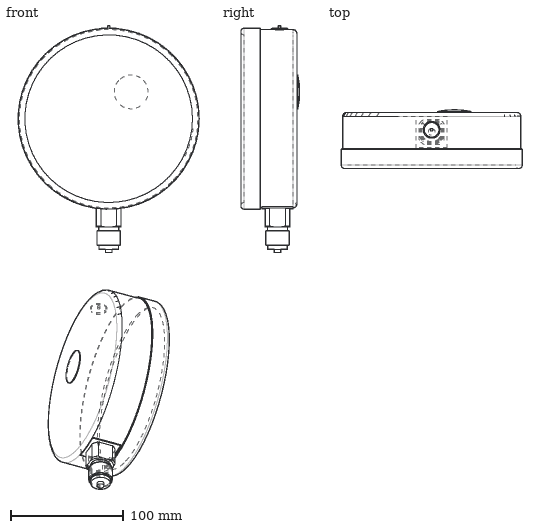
import cadquery as cq
import math

bezel_diameter = 161.4
bezel_depth = 17.8
case_diameter = 159.0
housing_depth = 50.0
case_edge_radius = 3.6
bezel_rim_radius = 3.0
bezel_back_chamfer = 0.6

disc_diameter = 30.0
disc_rim_height = 0.8
disc_height = 2.5
disc_x = 20.0
disc_z = 23.8

plug_y = 34.5
plug_diameter = 15.0
plug_height = 1.2
plug_chamfer = 1.0
vent_pin_diameter = 2.5
vent_pin_top = 82.8
vent_pin_rounding = 0.6

overall_height = 202.0
stem_y = 32.7
pad_width = 27.5
pad_thickness = 1.0
wrench_width = 22.2
wrench_corner_diameter = 26.3
wrench_chamfer = 0.8
neck_diameter = 18.0
neck_length = 3.0
collar_diameter = 21.0
collar_length = 13.7
collar_chamfer = 0.8
spigot_diameter = 17.5
spigot_length = 3.2
tip_diameter = 6.0
tip_length = 2.8

case_radius = case_diameter / 2
stem_bottom = vent_pin_top - overall_height
spigot_bottom = stem_bottom + tip_length
collar_bottom = spigot_bottom + spigot_length
neck_bottom = collar_bottom + collar_length
wrench_bottom = neck_bottom + neck_length
embed_depth = 6.0
wrench_height = -case_radius + embed_depth - wrench_bottom


def disc_along_y(diameter, start, end):
    """Cylinder about the housing axis, from Y = start to Y = end."""
    return cq.Workplane("XZ", origin=(0, start, 0)).circle(diameter / 2).extrude(start - end)


def upright(diameter, y, bottom, height):
    """Vertical cylinder standing at X = 0."""
    return cq.Workplane("XY", origin=(0, y, bottom)).circle(diameter / 2).extrude(height)


def make_housing():
    radius = bezel_diameter / 2
    window_radius = radius - 2 * bezel_rim_radius
    bezel_profile = (
        cq.Workplane("XY")
        .moveTo(0, bezel_rim_radius)
        .lineTo(window_radius, bezel_rim_radius)
        .threePointArc((radius - bezel_rim_radius, 0), (radius, bezel_rim_radius))
        .lineTo(radius, bezel_depth - bezel_back_chamfer)
        .lineTo(radius - bezel_back_chamfer, bezel_depth)
        .lineTo(0, bezel_depth)
        .close()
    )
    bezel = bezel_profile.revolve(360, (0, 0), (0, 1))
    case = disc_along_y(case_diameter, bezel_depth, housing_depth)
    return bezel.union(case.faces(">Y").edges().fillet(case_edge_radius))


def make_blowout_disc():
    radius = disc_diameter / 2
    rim_y = housing_depth + disc_rim_height
    crown_y = housing_depth + disc_height
    crown_height = crown_y - rim_y
    sphere_radius = (radius**2 + crown_height**2) / (2 * crown_height)
    half_angle = math.asin(radius / sphere_radius) / 2
    arc_middle = (
        sphere_radius * math.sin(half_angle),
        crown_y - sphere_radius * (1 - math.cos(half_angle)),
    )
    profile = (
        cq.Workplane("XY")
        .moveTo(0, housing_depth - embed_depth)
        .lineTo(radius, housing_depth - embed_depth)
        .lineTo(radius, rim_y)
        .threePointArc(arc_middle, (0, crown_y))
        .close()
    )
    return profile.revolve(360, (0, 0), (0, 1)).translate((disc_x, 0, disc_z))


def make_vent_plug():
    base = case_radius - embed_depth
    plug = upright(plug_diameter, plug_y, base, embed_depth + plug_height)
    plug = plug.faces(">Z").edges().chamfer(plug_height / 2, plug_chamfer)
    pin = upright(vent_pin_diameter, plug_y, base, vent_pin_top - base)
    return plug.union(pin.faces(">Z").edges().fillet(vent_pin_rounding))


def make_stem_pad():
    """Raised square pad on the case wall, following its curve, around the stem."""
    pad_ring = disc_along_y(
        case_diameter + 2 * pad_thickness, stem_y - pad_width / 2, stem_y + pad_width / 2
    )
    pad_top = embed_depth - case_radius
    pad_block = (
        cq.Workplane("XY", origin=(0, stem_y, pad_top))
        .rect(pad_width, pad_width)
        .extrude(-embed_depth - pad_thickness)
    )
    return pad_ring.intersect(pad_block)


def make_connection():
    corner_round = upright(wrench_corner_diameter, stem_y, wrench_bottom, wrench_height)
    corner_round = corner_round.faces("<Z").edges().chamfer(wrench_chamfer, 2 * wrench_chamfer)
    wrench_square = (
        cq.Workplane("XY", origin=(0, stem_y, wrench_bottom))
        .rect(wrench_width, wrench_width)
        .extrude(wrench_height)
    )
    collar = upright(collar_diameter, stem_y, collar_bottom, collar_length)
    return (
        corner_round.intersect(wrench_square)
        .union(upright(neck_diameter, stem_y, neck_bottom, neck_length))
        .union(collar.edges().chamfer(collar_chamfer))
        .union(upright(spigot_diameter, stem_y, spigot_bottom, spigot_length))
        .union(upright(tip_diameter, stem_y, stem_bottom, tip_length))
    )


result = (
    make_housing()
    .union(make_blowout_disc())
    .union(make_vent_plug())
    .union(make_stem_pad())
    .union(make_connection())
)